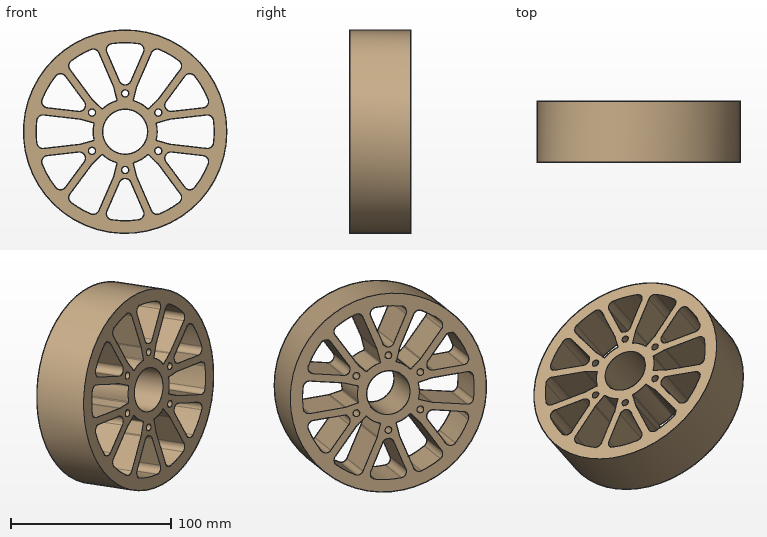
import cadquery as cq
import math

outer_diameter = 127.0
width = 38.1
bore_diameter = 28.0
hub_radius = 20.1
rim_inner_radius = 55.5

bolt_count = 6
bolt_circle_radius = 23.9
bolt_hole_diameter = 4.3
spoke_width = 4.8
v_half_angle = 23.5
v_apex_radius = 23.5
pocket_fillet = 3.8

flare_start = 28.0
flare_end_half_width = 5.3
hub_corner_fillet = 0.5

bolt_pitch = 360.0 / bolt_count
half_pitch = math.radians(bolt_pitch / 2)
v_slope_angle = math.radians(v_half_angle)
wide_slope_angle = half_pitch - v_slope_angle


def polar_point(radius, angle):
    """X and Z of a point at a radius and angle about the wheel axis."""
    return radius * math.cos(angle), radius * math.sin(angle)


def line_meets_rim(height, angle):
    """Point on the inside of the rim hit by the line through (0, height) at an angle to X."""
    distance = height * math.cos(angle)
    along = math.sqrt(rim_inner_radius**2 - distance**2) - height * math.sin(angle)
    return along * math.cos(angle), height + along * math.sin(angle)


def v_pocket():
    """Triangular pocket between the two spokes of one V, centred on +X."""
    height = -v_apex_radius * math.tan(v_slope_angle)
    rim_x, rim_z = line_meets_rim(height, v_slope_angle)
    return (
        cq.Workplane("XZ")
        .moveTo(v_apex_radius, 0)
        .lineTo(rim_x, -rim_z)
        .threePointArc((rim_inner_radius, 0), (rim_x, rim_z))
        .close()
        .extrude(width)
        .edges("|Y")
        .fillet(pocket_fillet)
    )


def wide_pocket():
    """Four-sided pocket between two neighbouring Vs, centred on +X."""
    apex_x, apex_z = polar_point(v_apex_radius, half_pitch)
    slope = math.tan(wide_slope_angle)
    height = apex_z - apex_x * slope - spoke_width / math.cos(wide_slope_angle)

    rim_corner = line_meets_rim(height, wide_slope_angle)
    rim_angle = math.atan2(rim_corner[1], rim_corner[0])
    hub_angle = math.asin(flare_end_half_width / hub_radius)

    upper_half = (
        cq.Workplane("XZ")
        .moveTo(rim_inner_radius, 0)
        .threePointArc(polar_point(rim_inner_radius, rim_angle / 2), rim_corner)
        .lineTo(flare_start, height + flare_start * slope)
        .lineTo(*polar_point(hub_radius, hub_angle))
        .threePointArc(polar_point(hub_radius, hub_angle / 2), (hub_radius, 0))
        .close()
        .extrude(width)
    )
    pocket = upper_half.union(upper_half.mirror("XY"))
    pocket = pocket.edges("|Y").edges("not <X").fillet(pocket_fillet)
    return pocket.edges("|Y").edges("<X").fillet(hub_corner_fillet)


def around_axis(shape, first_angle):
    """Copies of a shape, one per bolt hole, turned about the wheel axis."""
    copies = cq.Workplane("XZ")
    for index in range(bolt_count):
        angle = first_angle + index * bolt_pitch
        copies = copies.add(shape.rotate((0, 0, 0), (0, 1, 0), angle))
    return copies.combine()


def cylinder(diameter, offset=0):
    """Full-width cylinder along Y, its centre offset along X."""
    return cq.Workplane("XZ").center(offset, 0).circle(diameter / 2).extrude(width)


result = cylinder(outer_diameter).cut(cylinder(bore_diameter))
result = result.cut(around_axis(cylinder(bolt_hole_diameter, bolt_circle_radius), bolt_pitch / 2))
result = result.cut(around_axis(v_pocket(), bolt_pitch / 2))
result = result.cut(around_axis(wide_pocket(), 0))